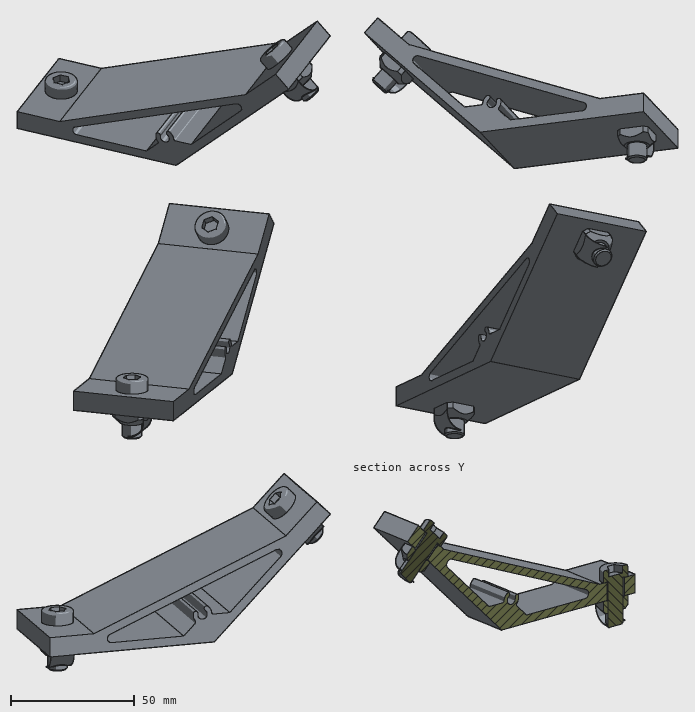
import cadquery as cq
import math

depth = 43.0
leg_length = 69.9
leg_angle = 45.0
plate_thickness = 8.1
flange_length = 18.7
leg_wall = 3.7
web_thickness = 3.5
window_radius = 1.8

block_height = 11.8
clip_radius = 2.0
clip_thickness = 2.0
clip_center_level = 13.0
clip_arm_length = 0.6
clip_root_radius = 0.7

screw_from_end = 10.2
hole_diameter = 9.0
shank_diameter = 8.0
tip_diameter = 6.8
shank_reach = 11.8
head_diameter = 13.0
head_height = 5.2
head_edge_radius = 1.0
socket_flats = 6.2
socket_depth = 3.1
socket_turn = 30

nut_width = 13.0
nut_face_width = 9.8
nut_height = 5.5
nut_bevel = 1.5
nut_bevel_angle = 45.0
spring_thickness = 0.2
spring_straight_length = 3.8

tilt = math.radians(leg_angle / 2)
block_peak_level = block_height / math.cos(tilt)

bend_plane = cq.Plane(
    origin=(leg_length, depth / 2, 0),
    xDir=(math.cos(tilt), 0, math.sin(tilt)),
    normal=(0, -1, 0),
)


def leg_point(along, height):
    """Point in the bracket plane, measured along the right leg and inwards from its outer face."""
    return (
        along * math.cos(tilt) - height * math.sin(tilt),
        along * math.sin(tilt) + height * math.cos(tilt),
    )


def mirrored(point):
    return (-point[0], point[1])


def prism(right_points, bottom):
    """Full-depth prism, symmetric about the bisector, from its bottom point and right side."""
    points = [bottom] + right_points + [mirrored(point) for point in reversed(right_points)]
    profile = cq.Workplane(bend_plane).polyline(points).close()
    return profile.extrude(depth / 2, both=True)


def round_edge_pair(body, point, radius):
    """Fillet the full-depth edges at a point of the bracket plane and at its mirror image."""
    margin = 0.1
    for x, level in (point, mirrored(point)):
        edge = bend_plane.toWorldCoords((x, level, 0))
        low = edge - cq.Vector(margin, margin, margin)
        high = edge + cq.Vector(margin, margin, margin)
        body = body.edges(cq.selectors.BoxSelector(low.toTuple(), high.toTuple())).fillet(radius)
    return body


def make_window():
    """Opening between the legs, the web and the corner block, with its two sharp ends rounded."""
    web_level = leg_point(leg_length - flange_length, plate_thickness)[1] - web_thickness
    tip_along = (web_level - leg_wall * math.cos(tilt)) / math.sin(tilt)
    block_along = (block_height - leg_wall * math.cos(2 * tilt)) / math.sin(2 * tilt)
    tip = leg_point(tip_along, leg_wall)
    window = prism([leg_point(block_along, leg_wall), tip], (0, block_peak_level))
    return round_edge_pair(window, tip, window_radius)


def clip_point(radius, degrees, rise=0.0):
    """Point around the clip centre, moved by a rise at right angles to its radius, as an arm runs."""
    angle = math.radians(degrees)
    return (
        radius * math.cos(angle) - rise * math.sin(angle),
        clip_center_level + radius * math.sin(angle) + rise * math.cos(angle),
    )


def make_clip():
    """C-shaped clip whose arms leave the ring tangentially and end in round tips."""
    arm_angle = leg_angle / 2
    outer = clip_radius + clip_thickness
    middle = clip_radius + clip_thickness / 2
    bottom = -90
    outer_root = clip_point(outer, arm_angle)
    outer_end = clip_point(outer, arm_angle, clip_arm_length)
    tip = clip_point(middle, arm_angle, clip_arm_length + clip_thickness / 2)
    inner_end = clip_point(clip_radius, arm_angle, clip_arm_length)
    inner_root = clip_point(clip_radius, arm_angle)
    profile = (
        cq.Workplane(bend_plane)
        .moveTo(*mirrored(outer_root))
        .threePointArc(clip_point(outer, bottom), outer_root)
        .lineTo(*outer_end)
        .threePointArc(tip, inner_end)
        .lineTo(*inner_root)
        .threePointArc(clip_point(clip_radius, bottom), mirrored(inner_root))
        .lineTo(*mirrored(inner_end))
        .threePointArc(mirrored(tip), mirrored(outer_end))
        .close()
    )
    return profile.extrude(depth / 2, both=True)


def clip_root():
    """Point where the outside of the clip meets the right top face of the corner block."""
    outer = clip_radius + clip_thickness
    clearance = (clip_center_level - block_peak_level) * math.cos(tilt)
    reach = math.sqrt(outer**2 - clearance**2)
    return (
        reach * math.cos(tilt) - clearance * math.sin(tilt),
        clip_center_level - reach * math.sin(tilt) - clearance * math.cos(tilt),
    )


def make_leg_planes():
    """Planes on the outer face of each leg at its screw axis, with the normal pointing inwards."""
    reach = leg_length - screw_from_end
    angle = math.radians(leg_angle)
    lower = cq.Plane(origin=(screw_from_end, depth / 2, 0), xDir=(1, 0, 0), normal=(0, 0, 1))
    upper = cq.Plane(
        origin=(leg_length + reach * math.cos(angle), depth / 2, reach * math.sin(angle)),
        xDir=(math.cos(angle), 0, math.sin(angle)),
        normal=(-math.sin(angle), 0, math.cos(angle)),
    )
    return [lower, upper]


def make_bracket(leg_planes):
    end = leg_length
    frame = prism(
        [
            leg_point(end, 0),
            leg_point(end, plate_thickness),
            leg_point(end - flange_length, plate_thickness),
        ],
        (0, 0),
    )
    groove = (
        cq.Workplane(bend_plane)
        .center(0, clip_center_level)
        .circle(clip_radius)
        .extrude(depth / 2, both=True)
    )
    bracket = frame.cut(make_window()).cut(groove).union(make_clip())
    bracket = round_edge_pair(bracket, clip_root(), clip_root_radius)
    for leg in leg_planes:
        hole = cq.Workplane(leg).circle(hole_diameter / 2).extrude(plate_thickness)
        bracket = bracket.cut(hole)
    return bracket


def make_screw(leg):
    """Socket head screw with its shank pointing out of the leg."""
    head = (
        cq.Workplane(leg)
        .workplane(offset=plate_thickness)
        .circle(head_diameter / 2)
        .extrude(head_height)
    )
    head = head.faces(cq.selectors.DirectionMinMaxSelector(leg.zDir)).edges().fillet(head_edge_radius)
    socket = (
        cq.Workplane(leg)
        .workplane(offset=plate_thickness + head_height - socket_depth)
        .transformed(rotate=(0, 0, socket_turn))
        .polygon(6, socket_flats, circumscribed=True)
        .extrude(socket_depth)
    )
    tip_bevel = (shank_diameter - tip_diameter) / 2
    shank = (
        cq.Workplane(leg)
        .workplane(offset=-shank_reach)
        .circle(shank_diameter / 2)
        .extrude(shank_reach + plate_thickness)
    )
    shank = shank.faces(cq.selectors.DirectionMinMaxSelector(leg.zDir, False)).chamfer(tip_bevel)
    return head.cut(socket).union(shank)


def make_spring(leg):
    """Strip that runs down one side of the nut and turns a quarter circle to the screw axis."""
    inner = nut_width / 2
    outer = inner + spring_thickness
    diagonal = math.sqrt(0.5)
    start = -spring_straight_length
    side_plane = cq.Plane(origin=leg.origin, xDir=leg.yDir, normal=leg.xDir)
    profile = (
        cq.Workplane(side_plane)
        .moveTo(-outer, 0)
        .lineTo(-outer, start)
        .threePointArc((-outer * diagonal, start - outer * diagonal), (0, start - outer))
        .lineTo(0, start - inner)
        .threePointArc((-inner * diagonal, start - inner * diagonal), (-inner, start))
        .lineTo(-inner, 0)
        .close()
    )
    return profile.extrude(nut_face_width / 2, both=True)


def make_nut(leg):
    """Square nut with cut corners and a conical end, joined to its leaf spring."""
    corner_cut = (nut_width - nut_face_width) / 2
    below = cq.Workplane(leg).workplane(offset=-nut_height)
    block = below.rect(nut_width, nut_width).extrude(nut_height)
    block = block.edges(cq.selectors.ParallelDirSelector(leg.zDir)).chamfer(corner_cut)
    cone = below.circle(nut_width / 2 - nut_bevel).extrude(nut_height, taper=-nut_bevel_angle)
    bore = cq.Workplane(leg).workplane(offset=-shank_reach).circle(shank_diameter / 2).extrude(shank_reach)
    return block.intersect(cone).union(make_spring(leg)).cut(bore)


leg_planes = make_leg_planes()
bracket = make_bracket(leg_planes)
screws = [make_screw(leg).val() for leg in leg_planes]
nuts = [make_nut(leg).val() for leg in leg_planes]

result = cq.Compound.makeCompound([bracket.val(), *screws, *nuts])